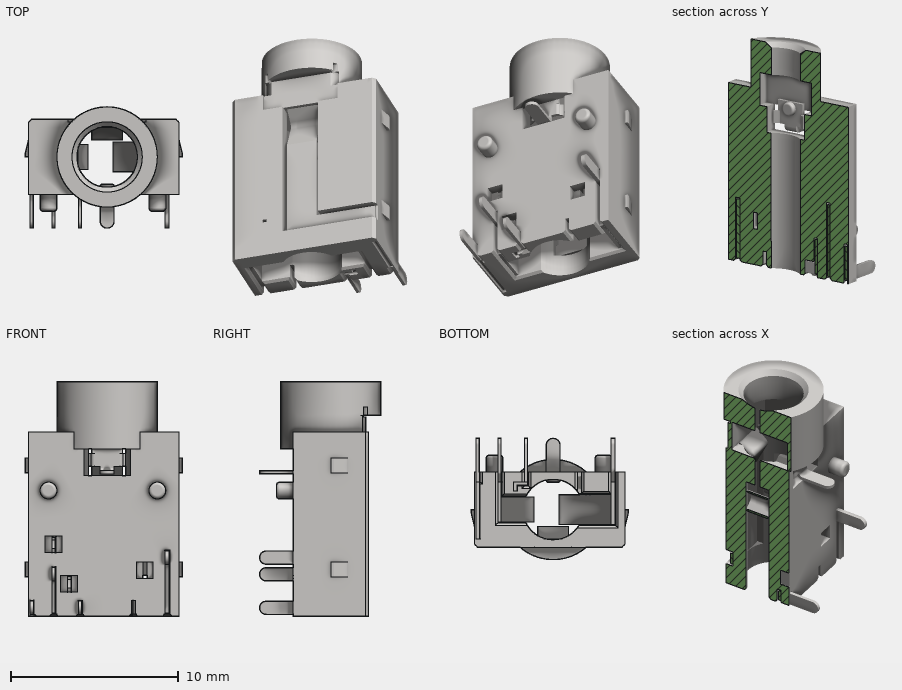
import cadquery as cq
import math


BLOCK_LEFT = -4.7
BLOCK_RIGHT = 4.3
BLOCK_HALF_DEPTH = 2.25
BLOCK_HEIGHT = 11.0
BACK_CHAMFER = 0.2
FRONT = -BLOCK_HALF_DEPTH
BACK = BLOCK_HALF_DEPTH
FRONT_WALL = 0.6
WALL_INSIDE = FRONT + FRONT_WALL

TOTAL_HEIGHT = 14.0
BARREL_RADIUS = 3.0
BORE_RADIUS = 1.8
BORE_CHAMFER = 0.3
BARREL_FRONT_BOTTOM = 10.0
BARREL_BACK_BOTTOM = 12.0
BARREL_BACK_FLAT = 2.1

CHAMBER_HALF_WIDTH = 1.9
CHAMBER_FRONT = -2.11
CHAMBER_BACK = 1.8

REAR_RECESS_HALF_WIDTH = 2.32
REAR_RECESS_RADIUS = 2.8
REAR_GROOVE_FLOOR = 1.95
REAR_GROOVE_HEIGHT = 0.1
REAR_NOTCH_BACK = 2.2
REAR_NOTCH_HEIGHT = 0.5
REAR_NOTCH_INNER = 1.9

FRONT_OPENING_HALF_WIDTH = 1.39
FRONT_OPENING_BOTTOM = 8.4

PEG_RADIUS = 0.5
PEG_LENGTH = 1.0
PEG_ROUNDING = 0.2
PEG_Z = 7.5
PEG_XS = (-3.5, 3.0)

BARB_DEPTH = 1.0
BARB_FLAT = 0.2
BARB_STANDOUT = 0.2
BARB_HEIGHT = 0.9
BARB_BOTTOMS = (2.35, 8.55)

PIN_TIP = -4.25
PIN_HEIGHT = 0.8
PIN_RADIUS = PIN_HEIGHT / 2
LOW_PIN_Z = 0.5
SIDE_PIN_Z = 2.5
TIP_PIN_Z = 3.5
SHEET = 0.2
THICK_SHEET = 0.25
PLATE_BOTTOM = 0.2

SLOT_WIDTH = 0.25
WIDE_SLOT_WIDTH = 0.3
SLOT_CLEARANCE = 0.049
SLOT_FLARE = 0.14
RING_SLOT_X = -4.6
SIDE_SLOT_X = -3.3
STUB_SLOT_X = -1.72
SPARE_SLOT_X = 1.44
TIP_SLOT_X = 3.45

WINDOW_SIZE = 1.0
SIDE_WINDOW_X = -3.7
SIDE_WINDOW_Z = 3.8
STUB_WINDOW_X = -2.77
STUB_WINDOW_Z = 1.44
SPARE_WINDOW_X = 1.75
SPARE_WINDOW_Z = 2.25
STUB_BLADE_X = -2.37
SPARE_BLADE_X = 2.13
SIGHT_HOLE_HEIGHT = 0.18

LEFT_POCKET_HALF_DEPTH = 0.8
RIGHT_POCKET_HALF_DEPTH = 0.95
POCKET_TOP = 8.0

BUMP_ROUNDING = 0.35

SIDE_LEAF_HALF_WIDTH = 0.75
SIDE_PLATE_TOP = 4.7
SIDE_BUMP_X = -0.98
SIDE_BUMP_Z = 6.6
SIDE_END_X = -1.74
SIDE_END_Z = 7.4
TIP_LEAF_HALF_WIDTH = 0.9
TIP_BUMP_X = 0.1
TIP_BUMP_Z = 6.0
TIP_END_X = 1.96
TIP_END_Z = 7.6

HOOK_BOTTOM = 0.25
HOOK_TOP = 0.75
HOOK_STANDOUT = 0.3

BACK_GROOVE_FLOOR = 1.75
BACK_GROOVE_BOTTOM = 1.44
BACK_GROOVE_TOP = 2.45
BACK_CHANNEL_HALF_WIDTH = 1.1
RING_LEAF_HALF_WIDTH = 0.92
RING_ARM_BOTTOM = 1.54
RING_ARM_TOP = 2.35
RING_LEAF_ROOT_Z = 7.5
RING_BUMP_Y = 0.92
RING_BUMP_Z = 9.2
RING_END_Z = 9.94

STUB_JOG_DEPTH = 0.25
STUB_BLADE_DEPTH = 0.55

SLEEVE_PIN_HALF_WIDTH = 0.42
SLEEVE_PIN_BOTTOM = 8.5
SLEEVE_BEND_RADIUS = 0.15
SLEEVE_PLATE_BOTTOM = 8.95
SLEEVE_PLATE_TOP = 10.4
SLEEVE_PLATE_HALF_WIDTH = 0.75
SLEEVE_WING_TOP = 9.73
SLEEVE_WING_REACH = 1.1
SLEEVE_TOP_HALF_WIDTH = 0.92
SLEEVE_CURL_RADIUS = 0.2
SLEEVE_WING_SWEEP = 0.31
SLEEVE_WING_EDGE = 0.1
SLEEVE_DIMPLE_RADIUS = 0.42
SLEEVE_DIMPLE_HEIGHT = 0.3
SLEEVE_DIMPLE_ROUNDING = 0.13


def block(x0, x1, y0, y1, z0, z1):
    """Box between two opposite corners."""
    return cq.Workplane("XY").box(x1 - x0, y1 - y0, z1 - z0, centered=False).translate((x0, y0, z0))


def lead_in(x0, x1, y0, y1):
    """45-degree flare around a slot mouth on the underside."""
    return (
        cq.Workplane("XY")
        .center((x0 + x1) / 2, (y0 + y1) / 2)
        .rect(x1 - x0 + 2 * SLOT_FLARE, y1 - y0 + 2 * SLOT_FLARE)
        .extrude(SLOT_FLARE, taper=45)
    )


def pin_slot(x, width, pin_z, depth_y, flare_left=True):
    """Slot through the front wall, open at the underside, that ends just above its pin."""
    top = pin_z + PIN_RADIUS + SLOT_CLEARANCE
    slot = block(x, x + width, FRONT, depth_y, 0, top)
    flare_x = x if flare_left else x + SLOT_FLARE
    return slot.union(lead_in(flare_x, x + width, FRONT - SLOT_FLARE, depth_y))


def pin_blade(x, thickness, pin_z):
    """Upright solder pin with a full-round tip, starting at the inside of the front wall."""
    round_y = PIN_TIP + PIN_RADIUS
    return (
        cq.Workplane("YZ")
        .workplane(offset=x)
        .moveTo(WALL_INSIDE, pin_z - PIN_RADIUS)
        .lineTo(round_y, pin_z - PIN_RADIUS)
        .threePointArc((PIN_TIP, pin_z), (round_y, pin_z + PIN_RADIUS))
        .lineTo(WALL_INSIDE, pin_z + PIN_RADIUS)
        .close()
        .extrude(thickness)
    )


def hook(x, window_z):
    """Wedge on a terminal's front edge that catches in its window."""
    outline = [
        (WALL_INSIDE, window_z + HOOK_BOTTOM),
        (WALL_INSIDE - HOOK_STANDOUT, window_z + HOOK_BOTTOM),
        (WALL_INSIDE, window_z + HOOK_TOP),
    ]
    return cq.Workplane("YZ").workplane(offset=x).polyline(outline).close().extrude(SHEET)


def spring_leaf(plane, path, thickness, half_width):
    """Bent strip along root, knee, bump and end points, rounded at the bump.

    The points are (offset, Z); the strip is thickened in the offset direction.
    """
    far_side = [(offset + thickness, z) for offset, z in reversed(path)]
    leaf = cq.Workplane(plane).polyline(path + far_side).close().extrude(half_width, both=True)
    bump_z = path[2][1]
    across = "|Y" if plane == "XZ" else "|X"
    bump_edges = leaf.edges(across).edges(cq.selectors.BoxSelector(
        (BLOCK_LEFT, FRONT, bump_z - BUMP_ROUNDING), (BLOCK_RIGHT, BACK, bump_z + BUMP_ROUNDING)))
    return bump_edges.fillet(BUMP_ROUNDING)


def barrel():
    body = cq.Workplane("XY").workplane(offset=BARREL_FRONT_BOTTOM).circle(BARREL_RADIUS)
    body = body.extrude(TOTAL_HEIGHT - BARREL_FRONT_BOTTOM)
    below_step = block(-BARREL_RADIUS, BARREL_RADIUS, BARREL_BACK_FLAT, BARREL_RADIUS,
                       BARREL_FRONT_BOTTOM, BARREL_BACK_BOTTOM)
    return body.cut(below_step)


def rear_details():
    """Recess that also thins the rear of the barrel, groove under its step and two side notches."""
    cuts = block(-REAR_RECESS_HALF_WIDTH, REAR_RECESS_HALF_WIDTH, BARREL_BACK_FLAT, BACK,
                 BARREL_FRONT_BOTTOM, BLOCK_HEIGHT)
    thinning = cq.Workplane("XY").workplane(offset=BLOCK_HEIGHT).circle(BARREL_RADIUS)
    thinning = thinning.circle(REAR_RECESS_RADIUS).extrude(BARREL_BACK_BOTTOM - BLOCK_HEIGHT)
    cuts = cuts.union(thinning.intersect(
        block(-REAR_RECESS_HALF_WIDTH, REAR_RECESS_HALF_WIDTH, 0, BACK, BLOCK_HEIGHT, BARREL_BACK_BOTTOM)))
    cuts = cuts.union(block(-BARREL_RADIUS, BARREL_RADIUS, REAR_GROOVE_FLOOR, BARREL_RADIUS,
                            BARREL_BACK_BOTTOM - REAR_GROOVE_HEIGHT, BARREL_BACK_BOTTOM))
    for x0, x1 in ((-BARREL_RADIUS, -REAR_NOTCH_INNER), (REAR_NOTCH_INNER, BARREL_RADIUS)):
        cuts = cuts.union(block(x0, x1, REAR_GROOVE_FLOOR, REAR_NOTCH_BACK,
                                BARREL_BACK_BOTTOM, BARREL_BACK_BOTTOM + REAR_NOTCH_HEIGHT))
    return cuts


def bore():
    """Plug bore with its entry chamfer, the wider chamber and the front opening."""
    cuts = cq.Workplane("XY").circle(BORE_RADIUS).extrude(TOTAL_HEIGHT)
    mouth = cq.Workplane("XY").workplane(offset=TOTAL_HEIGHT).circle(BORE_RADIUS + BORE_CHAMFER)
    cuts = cuts.union(mouth.extrude(-BORE_CHAMFER, taper=45))
    cuts = cuts.union(block(-CHAMBER_HALF_WIDTH, CHAMBER_HALF_WIDTH, CHAMBER_FRONT, CHAMBER_BACK,
                            BARREL_FRONT_BOTTOM, BARREL_BACK_BOTTOM))
    return cuts.union(block(-FRONT_OPENING_HALF_WIDTH, FRONT_OPENING_HALF_WIDTH, FRONT, 0,
                            FRONT_OPENING_BOTTOM, BARREL_FRONT_BOTTOM))


def pegs():
    shape = cq.Workplane("XY")
    for x in PEG_XS:
        peg = cq.Workplane("XZ", origin=(x, FRONT, PEG_Z)).circle(PEG_RADIUS).extrude(PEG_LENGTH)
        shape = shape.union(peg.faces("<Y").edges().fillet(PEG_ROUNDING))
    return shape


def barbs():
    shape = cq.Workplane("XY")
    for wall_x, outward in ((BLOCK_LEFT, -1), (BLOCK_RIGHT, 1)):
        crest_x = wall_x + outward * BARB_STANDOUT
        outline = [(wall_x, 0), (crest_x, 0), (crest_x, BARB_FLAT), (wall_x, BARB_DEPTH)]
        for z in BARB_BOTTOMS:
            wedge = cq.Workplane("XY").workplane(offset=z).polyline(outline).close()
            shape = shape.union(wedge.extrude(BARB_HEIGHT))
    return shape


def spring_pockets():
    """Pockets beside the bore for the side and tip springs, open at the underside."""
    left_y = LEFT_POCKET_HALF_DEPTH
    right_y = RIGHT_POCKET_HALF_DEPTH
    right_x = TIP_SLOT_X + WIDE_SLOT_WIDTH
    cuts = block(SIDE_SLOT_X, 0, -left_y, left_y, 0, POCKET_TOP)
    cuts = cuts.union(lead_in(SIDE_SLOT_X, 0, -left_y, left_y))
    cuts = cuts.union(block(0, right_x, -right_y, right_y, 0, POCKET_TOP))
    return cuts.union(lead_in(0, right_x, -right_y, right_y))


def windows():
    cuts = cq.Workplane("XY")
    corners = (
        (SIDE_WINDOW_X, SIDE_WINDOW_Z),
        (STUB_WINDOW_X, STUB_WINDOW_Z),
        (SPARE_WINDOW_X, SPARE_WINDOW_Z),
    )
    for x, z in corners:
        cuts = cuts.union(block(x, x + WINDOW_SIZE, FRONT, WALL_INSIDE, z, z + WINDOW_SIZE))
    cuts = cuts.union(block(SPARE_BLADE_X, SPARE_BLADE_X + SLOT_WIDTH, FRONT, 0,
                            SPARE_WINDOW_Z, SPARE_WINDOW_Z + WINDOW_SIZE))
    return cuts.union(block(SPARE_BLADE_X, SPARE_BLADE_X + SLOT_WIDTH, 0, BACK,
                            SPARE_WINDOW_Z, SPARE_WINDOW_Z + SIGHT_HOLE_HEIGHT))


def terminal_slots():
    left_y = -LEFT_POCKET_HALF_DEPTH
    right_y = -RIGHT_POCKET_HALF_DEPTH

    cuts = pin_slot(RING_SLOT_X, SLOT_WIDTH, LOW_PIN_Z, WALL_INSIDE, flare_left=False)
    cuts = cuts.union(block(RING_SLOT_X, RING_SLOT_X + SLOT_WIDTH, WALL_INSIDE, BACK_GROOVE_FLOOR,
                            0, BACK_GROOVE_TOP))

    cuts = cuts.union(pin_slot(SIDE_SLOT_X, SLOT_WIDTH, SIDE_PIN_Z, left_y))
    cuts = cuts.union(block(SIDE_SLOT_X, SIDE_SLOT_X + SLOT_WIDTH, WALL_INSIDE, left_y,
                            0, SIDE_WINDOW_Z + WINDOW_SIZE))

    cuts = cuts.union(pin_slot(STUB_SLOT_X, SLOT_WIDTH, LOW_PIN_Z, WALL_INSIDE + STUB_JOG_DEPTH))
    cuts = cuts.union(block(STUB_BLADE_X, STUB_SLOT_X + SLOT_WIDTH, WALL_INSIDE, WALL_INSIDE + STUB_JOG_DEPTH,
                            0, LOW_PIN_Z + PIN_RADIUS + SLOT_CLEARANCE))
    cuts = cuts.union(block(STUB_BLADE_X, STUB_BLADE_X + SLOT_WIDTH,
                            WALL_INSIDE, WALL_INSIDE + STUB_BLADE_DEPTH,
                            0, STUB_WINDOW_Z + WINDOW_SIZE))

    cuts = cuts.union(pin_slot(SPARE_SLOT_X, SLOT_WIDTH, LOW_PIN_Z, right_y))
    return cuts.union(pin_slot(TIP_SLOT_X, WIDE_SLOT_WIDTH, TIP_PIN_Z, right_y))


def back_channels():
    """Groove across the back for the ring terminal's arm and the upright channel for its spring."""
    cuts = block(BLOCK_LEFT, BACK_CHANNEL_HALF_WIDTH, BACK_GROOVE_FLOOR, BACK,
                 BACK_GROOVE_BOTTOM, BACK_GROOVE_TOP)
    return cuts.union(block(-BACK_CHANNEL_HALF_WIDTH, BACK_CHANNEL_HALF_WIDTH, 0, BACK,
                            BACK_GROOVE_BOTTOM, BARREL_FRONT_BOTTOM))


def make_housing():
    body = block(BLOCK_LEFT, BLOCK_RIGHT, FRONT, BACK, 0, BLOCK_HEIGHT)
    body = body.edges("|Z and >Y").chamfer(BACK_CHAMFER)
    body = body.union(barrel()).union(pegs()).union(barbs())
    for cuts in (rear_details(), bore(), spring_pockets(), windows(), terminal_slots(), back_channels()):
        body = body.cut(cuts)
    return body


def make_ring_terminal():
    """Pin at the -X edge, plate to the back, arm along the back and a spring facing forward."""
    body = pin_blade(RING_SLOT_X, SHEET, LOW_PIN_Z)
    arm_back = BACK_GROOVE_FLOOR + SHEET
    body = body.union(block(RING_SLOT_X, RING_SLOT_X + SHEET, WALL_INSIDE, BACK_GROOVE_FLOOR,
                            PLATE_BOTTOM, RING_ARM_TOP))
    body = body.union(block(RING_SLOT_X, RING_LEAF_HALF_WIDTH, BACK_GROOVE_FLOOR, arm_back,
                            RING_ARM_BOTTOM, RING_ARM_TOP))
    path = [
        (BACK_GROOVE_FLOOR, RING_ARM_BOTTOM),
        (BACK_GROOVE_FLOOR, RING_LEAF_ROOT_Z),
        (RING_BUMP_Y, RING_BUMP_Z),
        (BACK_GROOVE_FLOOR, RING_END_Z),
    ]
    return body.union(spring_leaf("YZ", path, SHEET, RING_LEAF_HALF_WIDTH))


def make_side_terminal():
    """Pin, plate and a spring reaching into the bore from the -X side."""
    body = pin_blade(SIDE_SLOT_X, SHEET, SIDE_PIN_Z).union(hook(SIDE_SLOT_X, SIDE_WINDOW_Z))
    body = body.union(block(SIDE_SLOT_X, SIDE_SLOT_X + SHEET, WALL_INSIDE, SIDE_LEAF_HALF_WIDTH,
                            PLATE_BOTTOM, SIDE_PLATE_TOP))
    path = [
        (SIDE_SLOT_X, PLATE_BOTTOM),
        (SIDE_SLOT_X, SIDE_PLATE_TOP),
        (SIDE_BUMP_X - SHEET, SIDE_BUMP_Z),
        (SIDE_END_X - SHEET, SIDE_END_Z),
    ]
    return body.union(spring_leaf("XZ", path, SHEET, SIDE_LEAF_HALF_WIDTH))


def make_tip_terminal():
    """Pin, plate and a spring reaching into the bore from the +X side."""
    body = pin_blade(TIP_SLOT_X, THICK_SHEET, TIP_PIN_Z)
    plate_top = TIP_PIN_Z + PIN_RADIUS
    body = body.union(block(TIP_SLOT_X, TIP_SLOT_X + THICK_SHEET, WALL_INSIDE, TIP_LEAF_HALF_WIDTH,
                            PLATE_BOTTOM, plate_top))
    path = [
        (TIP_SLOT_X, PLATE_BOTTOM),
        (TIP_SLOT_X, plate_top),
        (TIP_BUMP_X, TIP_BUMP_Z),
        (TIP_END_X, TIP_END_Z),
    ]
    return body.union(spring_leaf("XZ", path, THICK_SHEET, TIP_LEAF_HALF_WIDTH))


def make_stub_terminal():
    """Pin joined by a sideways jog to a short upright blade behind its window."""
    pin_top = LOW_PIN_Z + PIN_RADIUS
    body = pin_blade(STUB_SLOT_X, SHEET, LOW_PIN_Z).union(hook(STUB_BLADE_X, STUB_WINDOW_Z))
    body = body.union(block(STUB_BLADE_X, STUB_SLOT_X + SHEET, WALL_INSIDE, WALL_INSIDE + SHEET,
                            PLATE_BOTTOM, pin_top))
    return body.union(block(STUB_BLADE_X, STUB_BLADE_X + SHEET, WALL_INSIDE, WALL_INSIDE + STUB_BLADE_DEPTH,
                            PLATE_BOTTOM, STUB_WINDOW_Z + WINDOW_SIZE - SLOT_CLEARANCE))


def make_sleeve_terminal():
    """Flat pin bent up into a plate with curled-back wings and a contact dimple."""
    half = SLEEVE_PIN_HALF_WIDTH
    plate_front = CHAMBER_FRONT
    plate_back = plate_front + SHEET
    pin_top = SLEEVE_PIN_BOTTOM + SHEET
    bend_y = plate_front - SLEEVE_BEND_RADIUS
    bend_z = pin_top + SLEEVE_BEND_RADIUS
    round_y = PIN_TIP + half
    diagonal = math.sqrt(0.5)
    inner = SLEEVE_BEND_RADIUS
    outer = SLEEVE_BEND_RADIUS + SHEET

    flat_pin = (
        cq.Workplane("XY")
        .workplane(offset=SLEEVE_PIN_BOTTOM)
        .moveTo(-half, bend_y)
        .lineTo(-half, round_y)
        .threePointArc((0, PIN_TIP), (half, round_y))
        .lineTo(half, bend_y)
        .close()
        .extrude(SHEET)
    )
    bend = (
        cq.Workplane("YZ")
        .moveTo(bend_y, SLEEVE_PIN_BOTTOM)
        .threePointArc((bend_y + outer * diagonal, bend_z - outer * diagonal), (plate_back, bend_z))
        .lineTo(plate_back, SLEEVE_PLATE_BOTTOM)
        .lineTo(plate_front, SLEEVE_PLATE_BOTTOM)
        .lineTo(plate_front, bend_z)
        .threePointArc((bend_y + inner * diagonal, bend_z - inner * diagonal), (bend_y, pin_top))
        .close()
        .extrude(half, both=True)
    )
    plate = block(-SLEEVE_PLATE_HALF_WIDTH, SLEEVE_PLATE_HALF_WIDTH, plate_front, plate_back,
                  SLEEVE_PLATE_BOTTOM, SLEEVE_PLATE_TOP)
    body = flat_pin.union(bend).union(plate)
    body = body.union(block(-SLEEVE_TOP_HALF_WIDTH, SLEEVE_TOP_HALF_WIDTH, plate_front, plate_back,
                            SLEEVE_WING_TOP, SLEEVE_PLATE_TOP))
    curl = SLEEVE_CURL_RADIUS
    wing_y = plate_front + SLEEVE_WING_SWEEP
    for side in (-1, 1):
        root_x = side * SLEEVE_PLATE_HALF_WIDTH
        end_x = side * SLEEVE_WING_REACH
        wing = (
            cq.Workplane("XY")
            .workplane(offset=SLEEVE_PLATE_BOTTOM)
            .moveTo(root_x, plate_front)
            .threePointArc((root_x + side * curl * diagonal, plate_front + curl * (1 - diagonal)),
                           (root_x + side * curl, plate_front + curl))
            .lineTo(end_x, wing_y)
            .lineTo(end_x, wing_y + SLEEVE_WING_EDGE)
            .lineTo(root_x, plate_back)
            .close()
            .extrude(SLEEVE_WING_TOP - SLEEVE_PLATE_BOTTOM)
        )
        body = body.union(wing)
    dimple_z = SLEEVE_PLATE_TOP - SLEEVE_DIMPLE_RADIUS
    dimple = cq.Workplane("XZ", origin=(0, plate_back, dimple_z)).circle(SLEEVE_DIMPLE_RADIUS)
    dimple = dimple.extrude(-SLEEVE_DIMPLE_HEIGHT).faces(">Y").edges().fillet(SLEEVE_DIMPLE_ROUNDING)
    return body.union(dimple)


housing = make_housing()
ring_terminal = make_ring_terminal()
side_terminal = make_side_terminal()
tip_terminal = make_tip_terminal()
stub_terminal = make_stub_terminal()
sleeve_terminal = make_sleeve_terminal()

bodies = [housing, ring_terminal, side_terminal, tip_terminal, stub_terminal, sleeve_terminal]
result = cq.Compound.makeCompound([body.solids().val() for body in bodies])